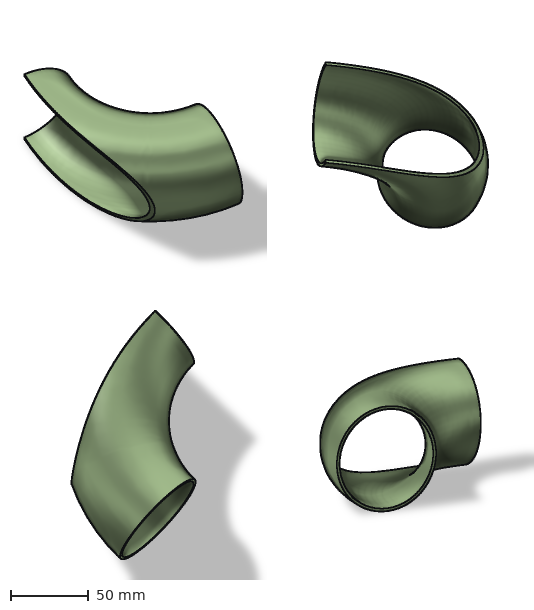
import cadquery as cq

outer_bend_radius = 127.0
tube_diameter = 70.1
wall = 2.0

tube_radius = tube_diameter / 2
bend_radius = outer_bend_radius - tube_radius


def quarter_bend(section_radius):
    """Solid 90 degree bend about Z, from the XZ plane (+X) to the YZ plane (-Y)."""
    return (
        cq.Workplane("XZ")
        .center(bend_radius, 0)
        .circle(section_radius)
        .revolve(90, (-bend_radius, 0, 0), (-bend_radius, -1, 0))
    )


def kept_region():
    """Block bounded by the saddle cut.

    The bend meets an equal straight tube along X at y = -bend_radius. Their surfaces
    cross on the parabola y = x^2 / (4 * bend_radius) - bend_radius, at every height.
    """
    end_x = outer_bend_radius
    end_y = end_x**2 / (4 * bend_radius) - bend_radius
    return (
        cq.Workplane("XY")
        .workplane(offset=-tube_diameter)
        .moveTo(0, -bend_radius)
        .bezier([(0, -bend_radius), (end_x / 2, -bend_radius), (end_x, end_y)])
        .lineTo(end_x, 0)
        .lineTo(0, 0)
        .close()
        .extrude(2 * tube_diameter)
    )


elbow = quarter_bend(tube_radius).cut(quarter_bend(tube_radius - wall))
result = elbow.intersect(kept_region())